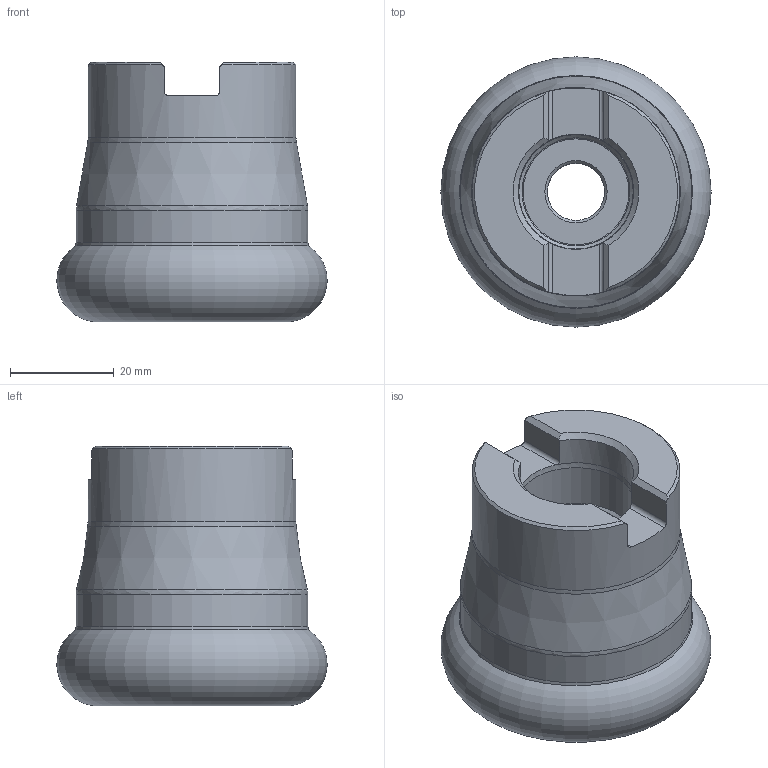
import cadquery as cq
import math

height = 50.0

bead_radius = 8.0
bead_center_radius = 18.0

flare_radius = 22.42
flare_top = 15.25
collar_radius = 22.3
collar_top = 21.9
neck_radius = 20.0
neck_bottom = 35.0
blend_radius = 5.0
rim_chamfer = 0.5

hole_radius = 5.5
hole_chamfer = 0.5

bore_radius = 11.1
bore_chamfer = 1.0
seat_radius = 11.005
seat_taper_height = 1.1
seat_bottom = 34.0
floor_chamfer = 0.62
floor_fillet = 0.2

slot_width = 10.6
slot_depth = 6.5
slot_floor_fillet = 0.8
slot_edge_chamfer = 0.9

bead_outer_radius = bead_center_radius + bead_radius
seam_height = bead_radius + math.sqrt(bead_radius**2 - (flare_radius - bead_center_radius) ** 2)
slot_floor = height - slot_depth
seat_top = slot_floor - seat_taper_height
floor_radius = seat_radius - floor_chamfer
bore_floor = seat_bottom - floor_chamfer - floor_fillet


def revolve_about_z(profile):
    """Close a profile drawn in the XZ plane and turn it around the Z axis."""
    return profile.close().revolve(360, (0, 0, 0), (0, 1, 0))


def make_bead_ring():
    """Bead ring with a flat top seat and a straight inner wall for the hub spigot."""
    profile = (
        cq.Workplane("XZ")
        .moveTo(bead_center_radius, 0)
        .threePointArc((bead_outer_radius, bead_radius), (flare_radius, seam_height))
        .lineTo(bead_center_radius, seam_height)
    )
    return revolve_about_z(profile)


def make_hub_blank():
    """Solid hub: spigot, flare, collar, cone and neck, with both ends of the cone blended."""
    profile = (
        cq.Workplane("XZ")
        .moveTo(0, 0)
        .lineTo(bead_center_radius, 0)
        .lineTo(bead_center_radius, seam_height)
        .lineTo(flare_radius, seam_height)
        .lineTo(collar_radius, flare_top)
        .lineTo(collar_radius, collar_top)
        .lineTo(neck_radius, neck_bottom)
        .lineTo(neck_radius, height)
        .lineTo(0, height)
    )
    blank = revolve_about_z(profile)
    reach = bead_outer_radius
    margin = 0.1
    for z in (collar_top, neck_bottom):
        circle_at_z = cq.selectors.BoxSelector(
            (-reach, -reach, z - margin), (reach, reach, z + margin), boundingbox=True
        )
        blank = blank.edges(circle_at_z).fillet(blend_radius)
    return blank.faces(">Z").edges().chamfer(rim_chamfer)


def make_bore():
    """Cutter for the through hole and the stepped bore above it."""
    profile = (
        cq.Workplane("XZ")
        .moveTo(0, 0)
        .lineTo(hole_radius, 0)
        .lineTo(hole_radius, bore_floor - hole_chamfer)
        .lineTo(hole_radius + hole_chamfer, bore_floor)
        .lineTo(floor_radius - floor_fillet, bore_floor)
        .radiusArc((floor_radius, bore_floor + floor_fillet), -floor_fillet)
        .lineTo(seat_radius, seat_bottom)
        .lineTo(seat_radius, seat_top)
        .lineTo(bore_radius, slot_floor)
        .lineTo(bore_radius, height - bore_chamfer)
        .lineTo(bore_radius + bore_chamfer, height)
        .lineTo(0, height)
    )
    return revolve_about_z(profile)


def make_slot():
    """Cutter for the driving slot, with chamfered top edges and rounded floor corners."""
    half_width = slot_width / 2
    length = 2 * collar_radius
    slot = (
        cq.Workplane("XZ", origin=(0, length / 2, 0))
        .moveTo(-half_width - slot_edge_chamfer, height)
        .lineTo(-half_width, height - slot_edge_chamfer)
        .lineTo(-half_width, slot_floor)
        .lineTo(half_width, slot_floor)
        .lineTo(half_width, height - slot_edge_chamfer)
        .lineTo(half_width + slot_edge_chamfer, height)
        .close()
        .extrude(length)
    )
    return slot.faces("<Z").edges("|Y").fillet(slot_floor_fillet)


bead_ring = make_bead_ring()
hub = make_hub_blank().cut(make_bore()).cut(make_slot())

result = cq.Compound.makeCompound([bead_ring.val(), hub.val()])